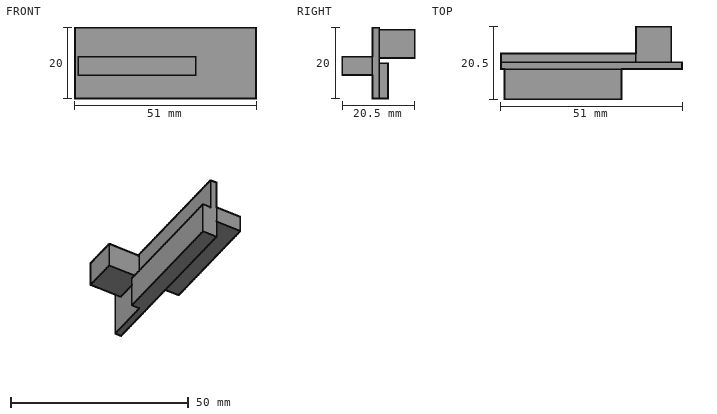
import cadquery as cq

plate_length = 51.0
plate_thickness = 2.0
plate_height = 20.0

bar_length = 33.0
bar_depth = 8.5
bar_height = 5.25
bar_left = 0.95
bar_bottom = 6.6

block_width = 10.0
block_depth = 10.0
block_height = 8.0
block_left = 38.0
block_top_gap = 0.6
block_bottom = plate_height - block_top_gap - block_height

strip_length = block_left
strip_depth = 2.5
strip_height = 10.0


def box_at(corner, length, depth, height):
    """Box with its lowest left front corner at the given point."""
    return cq.Workplane("XY").box(length, depth, height, centered=False).translate(corner)


plate = box_at((0, 0, 0), plate_length, plate_thickness, plate_height)
front_bar = box_at((bar_left, -bar_depth, bar_bottom), bar_length, bar_depth, bar_height)
back_block = box_at((block_left, plate_thickness, block_bottom), block_width, block_depth, block_height)
back_strip = box_at((0, plate_thickness, 0), strip_length, strip_depth, strip_height)

result = plate.union(front_bar).union(back_block).union(back_strip)